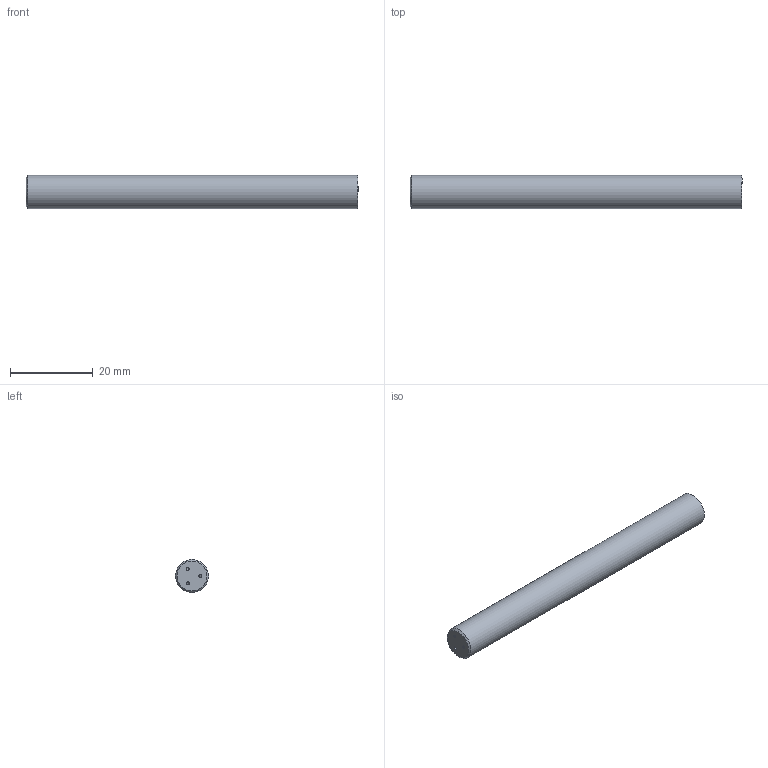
import cadquery as cq
import math

ROD_LENGTH = 80.0
ROD_DIAMETER = 8.0
CHAMFER = 0.4

CHANNEL_COUNT = 3
CHANNEL_DIAMETER = 0.7
CHANNEL_CIRCLE_DIAMETER = 4.0
HELIX_ANGLE = 30.0
FULL_TURN = 360.0

CHANNEL_PITCH = math.pi * ROD_DIAMETER / math.tan(math.radians(HELIX_ANGLE))
CHANNEL_TWIST = FULL_TURN * ROD_LENGTH / CHANNEL_PITCH


def make_rod():
    """Solid rod, chamfered at the -X end only."""
    rod = cq.Workplane("YZ").circle(ROD_DIAMETER / 2).extrude(ROD_LENGTH)
    return rod.faces("<X").chamfer(CHAMFER)


def make_channels():
    """Twisted channels; one of them leaves the +X end face on the +Y side."""
    start_angle = -CHANNEL_TWIST
    return (
        cq.Workplane("YZ")
        .polarArray(CHANNEL_CIRCLE_DIAMETER / 2, start_angle, FULL_TURN, CHANNEL_COUNT)
        .circle(CHANNEL_DIAMETER / 2)
        .twistExtrude(ROD_LENGTH, CHANNEL_TWIST)
    )


result = make_rod().cut(make_channels())